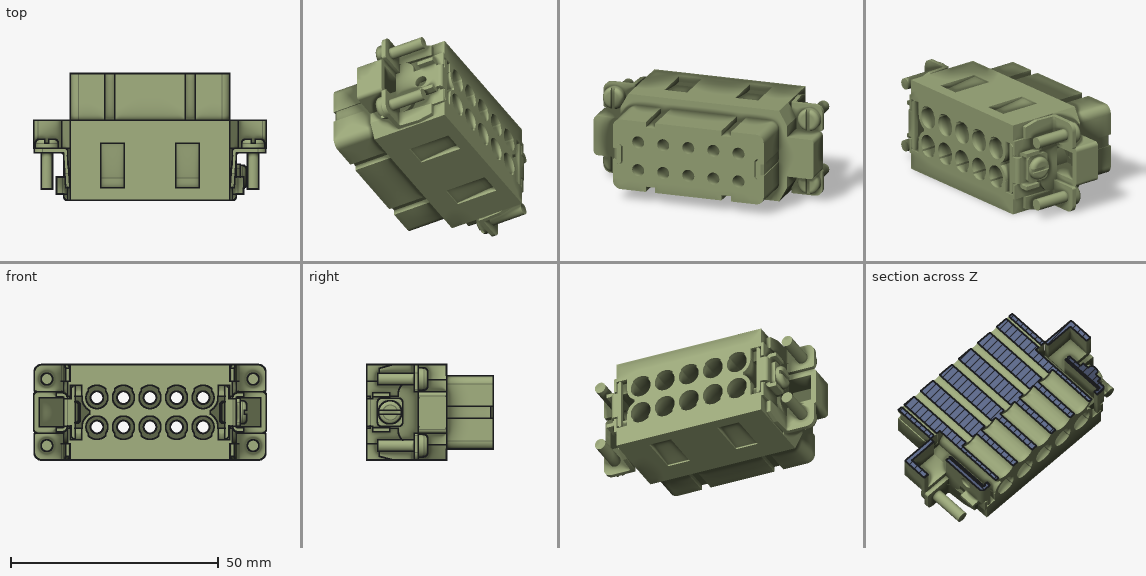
import cadquery as cq
import math

TOTAL_LENGTH = 56.0
TOTAL_HEIGHT = 23.0
TOTAL_DEPTH = 30.5
HALF_LENGTH = TOTAL_LENGTH / 2
HALF_HEIGHT = TOTAL_HEIGHT / 2
FLANGE_FRONT_Y = 12.5
FLANGE_BACK_Y = 19.25

BODY_HALF_LENGTH = 19.2
SEAT_HALF_LENGTH = 19.8
SEAT_HALF_HEIGHT = 7.5
SHOULDER_HALF_LENGTH = 21.2
SHOULDER_HALF_HEIGHT = 7.85

END_BLOCK_HALF_HEIGHT = 5.0
END_BLOCK_FILLET = 0.95
END_POCKET_OUTER_X = 26.6
END_POCKET_HALF_HEIGHT = 3.5
END_POCKET_DEPTH = 5.6

INSERT_HALF_HEIGHT = 8.85
INSERT_FILLET = 2.0
KEYWAY_X = 9.65
KEYWAY_WIDTH = 2.4
KEYWAY_DEPTH = 1.35
END_GROOVE_HALF_HEIGHT = 1.45
END_GROOVE_DEPTH = 0.2
END_GROOVE_CHAMFER = 0.7

CONTACT_COLUMNS = 5
CONTACT_PITCH = 6.4
CONTACT_ROW_Z = 3.5
CONTACT_BORE_RADIUS = 1.5
CAVITY_RADIUS = 2.65
CAVITY_LOBE_RADIUS = 2.95
CAVITY_LOBE_WIDTH = 4.15
CAVITY_DEPTH = FLANGE_FRONT_Y

WEDGE_X = 9.0
WEDGE_WIDTH = 5.75
WEDGE_FRONT_Y = 3.0
WEDGE_FLOOR_END_Y = 5.45
WEDGE_BACK_Y = 13.65
WEDGE_DEEP = 1.4
WEDGE_SHALLOW = 0.4

SLOT_INNER_X = 16.4
SLOT_HALF_HEIGHT = 6.55
SLOT_DEPTH = 1.7
CHAMBER_TIP_X = 14.45
CHAMBER_HALF_HEIGHT = 3.8
CHAMBER_DEPTH = FLANGE_BACK_Y
CHAMBER_WALL_RADIUS = 3.6
WINDOW_OUTER_X = 18.0
WINDOW_INNER_X = 16.8
WINDOW_HALF_HEIGHT = 2.6
WINDOW_CHAMFER = 0.5
TONGUE_TIP_X = 17.15
TONGUE_HALF_HEIGHT = 2.45

SHEET = 0.95
TAB_SHEET = 1.05
PLATE_INNER_X = SEAT_HALF_LENGTH
PLATE_OUTER_X = PLATE_INNER_X + SHEET
TAB_END_X = 27.9
TAB_CORNER_RADIUS = 1.95
TAB_INNER_RADIUS = 0.5
TAB_FRONT_Y = FLANGE_FRONT_Y - TAB_SHEET
BEND_RADIUS = 0.5
NECK_HALF_HEIGHT = 3.8
NECK_START_Y = 7.6
SHOULDER_RADIUS = 3.1
EAR_TIP_Y = 3.0
EAR_TIP_INNER_X = 19.25
EAR_TIP_OUTER_X = 20.3
EAR_ROOT_Y = TAB_FRONT_Y - BEND_RADIUS
EAR_CHAMFER_LENGTH = 3.5
EAR_CHAMFER_HEIGHT = 0.95
FINGER_FRONT_Y = 1.45
FINGER_BACK_Y = 5.6
FINGER_END_X = 22.5
FINGER_OUTER_Z = 4.7
FINGER_INNER_Z = FINGER_OUTER_Z - SHEET
FINGER_OUTER_RADIUS = 1.25
FINGER_INNER_RADIUS = 0.45
BRIDGE_HALF_HEIGHT = 3.3
BRIDGE_THICKNESS = 0.9
BRIDGE_RADIUS = 0.9
LEG_INNER_X = 18.0
LEG_OUTER_X = 19.0
LEG_HALF_HEIGHT = 6.4
LEG_CHAMFER = 0.55
LEG_DEPTH = 1.2
GROUND_HOLE_Y = 5.65
GROUND_HOLE_RADIUS = 1.5

WASHER_WIDTH = 6.05
WASHER_HEIGHT = 6.8
WASHER_THICKNESS = 0.95
WASHER_CORNER_RADIUS = 0.95
GROUND_HEAD_RADIUS = 2.8
GROUND_HEAD_HEIGHT = 1.5
GROUND_HEAD_FILLET = 1.0
GROUND_SLOT_DEPTH = 0.6

SCREW_X = 24.8
SCREW_Z = 8.0
SCREW_RADIUS = 1.4
SCREW_TIP_Y = 2.7
HEAD_RADIUS = 2.75
HEAD_HEIGHT = 2.25
HEAD_FILLET = 1.0
SCREW_SLOT_WIDTH = 1.0
SCREW_SLOT_DEPTH = 1.05


def block(x0, x1, y0, y1, z0, z1):
    """Box between two opposite corners."""
    return cq.Workplane("XY").box(x1 - x0, y1 - y0, z1 - z0, centered=False).translate((x0, y0, z0))


def centred_block(x0, x1, y0, y1, half_height):
    """Box that is symmetric about Z = 0."""
    return block(x0, x1, y0, y1, -half_height, half_height)


def xz_plane(y):
    """Workplane facing +Y at the given Y; its local axes are (-X, Z)."""
    return cq.Workplane(cq.Plane(origin=(0, y, 0), xDir=(-1, 0, 0), normal=(0, 1, 0)))


def cylinder_y(radius, x, z, y0, y1):
    """Cylinder along Y."""
    return xz_plane(y0).center(-x, z).circle(radius).extrude(y1 - y0)


def cylinder_x(radius, y, x0, x1):
    """Cylinder along X at Z = 0."""
    return cq.Workplane("YZ", origin=(x0, y, 0)).circle(radius).extrude(x1 - x0)


def with_mirror(shape, plane):
    """The shape joined with its mirror image."""
    return shape.union(shape.mirror(plane))


def main_block():
    body = centred_block(-BODY_HALF_LENGTH, BODY_HALF_LENGTH, 0, FLANGE_BACK_Y, HALF_HEIGHT)
    seats = centred_block(-SEAT_HALF_LENGTH, SEAT_HALF_LENGTH, 0, FLANGE_FRONT_Y, SEAT_HALF_HEIGHT)
    quarter = [
        (BODY_HALF_LENGTH, HALF_HEIGHT),
        (SHOULDER_HALF_LENGTH, SHOULDER_HALF_HEIGHT),
    ]
    outline = quarter + [(x, -z) for x, z in reversed(quarter)]
    outline += [(-x, -z) for x, z in outline]
    shoulder = xz_plane(FLANGE_FRONT_Y).polyline(outline).close().extrude(FLANGE_BACK_Y - FLANGE_FRONT_Y)
    return body.union(seats).union(shoulder)


def end_blocks():
    return centred_block(
        -HALF_LENGTH, HALF_LENGTH, FLANGE_FRONT_Y, FLANGE_BACK_Y, END_BLOCK_HALF_HEIGHT
    ).edges("|Y").fillet(END_BLOCK_FILLET)


def end_pocket():
    """Pocket in the front of an end block that runs inwards to the ground chamber."""
    return centred_block(
        BODY_HALF_LENGTH, END_POCKET_OUTER_X,
        FLANGE_FRONT_Y, FLANGE_FRONT_Y + END_POCKET_DEPTH, END_POCKET_HALF_HEIGHT,
    )


def mating_insert():
    insert = centred_block(
        -BODY_HALF_LENGTH, BODY_HALF_LENGTH, FLANGE_BACK_Y, TOTAL_DEPTH, INSERT_HALF_HEIGHT
    ).edges("|Y").fillet(INSERT_FILLET)
    keyway = block(
        KEYWAY_X - KEYWAY_WIDTH / 2, KEYWAY_X + KEYWAY_WIDTH / 2, FLANGE_BACK_Y, TOTAL_DEPTH,
        INSERT_HALF_HEIGHT - KEYWAY_DEPTH, INSERT_HALF_HEIGHT,
    )
    keyways = with_mirror(with_mirror(keyway, "YZ"), "XY")
    groove_x = BODY_HALF_LENGTH - END_GROOVE_DEPTH
    groove = cq.Workplane("XY", origin=(0, 0, -END_GROOVE_HALF_HEIGHT)).polyline([
        (BODY_HALF_LENGTH, FLANGE_BACK_Y),
        (groove_x, FLANGE_BACK_Y),
        (groove_x, TOTAL_DEPTH - END_GROOVE_CHAMFER),
        (groove_x - END_GROOVE_CHAMFER, TOTAL_DEPTH),
        (BODY_HALF_LENGTH, TOTAL_DEPTH),
    ]).close().extrude(2 * END_GROOVE_HALF_HEIGHT)
    return insert.cut(keyways).cut(with_mirror(groove, "YZ"))


def contact_cavity(x):
    """Upper-row cavity with a lobe on its outer side and a bore through the housing."""
    round_part = cylinder_y(CAVITY_RADIUS, x, CONTACT_ROW_Z, 0, CAVITY_DEPTH)
    lobe = cylinder_y(CAVITY_LOBE_RADIUS, x, CONTACT_ROW_Z, 0, CAVITY_DEPTH).intersect(block(
        x - CAVITY_LOBE_WIDTH / 2, x + CAVITY_LOBE_WIDTH / 2, 0, CAVITY_DEPTH,
        CONTACT_ROW_Z, CONTACT_ROW_Z + CAVITY_LOBE_RADIUS,
    ))
    bore = cylinder_y(CONTACT_BORE_RADIUS, x, CONTACT_ROW_Z, 0, TOTAL_DEPTH)
    return round_part.union(lobe).union(bore)


def wedge_pocket():
    """Pocket in the upper face with a flat floor at the front and a ramp rising to the back."""
    return cq.Workplane("YZ", origin=(WEDGE_X - WEDGE_WIDTH / 2, 0, 0)).polyline([
        (WEDGE_FRONT_Y, HALF_HEIGHT),
        (WEDGE_FRONT_Y, HALF_HEIGHT - WEDGE_DEEP),
        (WEDGE_FLOOR_END_Y, HALF_HEIGHT - WEDGE_DEEP),
        (WEDGE_BACK_Y, HALF_HEIGHT - WEDGE_SHALLOW),
        (WEDGE_BACK_Y, HALF_HEIGHT),
    ]).close().extrude(WEDGE_WIDTH)


def window_plug(tip_x, half_height):
    """Bar along Y from the chamber to the rear face, chamfered along its inner edges."""
    plug = centred_block(tip_x, WINDOW_OUTER_X, CHAMBER_DEPTH, TOTAL_DEPTH, half_height)
    return plug.edges("|Y and <X").chamfer(WINDOW_CHAMFER)


def ground_chamber():
    """Slot for the bracket leg, the chamber behind it and the openings that lead out of them."""
    slot = centred_block(SLOT_INNER_X, BODY_HALF_LENGTH, 0, SLOT_DEPTH, SLOT_HALF_HEIGHT)
    chamber = centred_block(CHAMBER_TIP_X, BODY_HALF_LENGTH, 0, CHAMBER_DEPTH, CHAMBER_HALF_HEIGHT)
    last_column_x = CONTACT_PITCH * (CONTACT_COLUMNS // 2)
    for z in (CONTACT_ROW_Z, -CONTACT_ROW_Z):
        chamber = chamber.cut(cylinder_y(CHAMBER_WALL_RADIUS, last_column_x, z, 0, CHAMBER_DEPTH))
    window = window_plug(WINDOW_INNER_X, WINDOW_HALF_HEIGHT).cut(
        window_plug(TONGUE_TIP_X, TONGUE_HALF_HEIGHT)
    )
    bridge_notch = centred_block(BODY_HALF_LENGTH, SEAT_HALF_LENGTH, 0, BRIDGE_THICKNESS, NECK_HALF_HEIGHT)
    ground_hole = cylinder_x(GROUND_HOLE_RADIUS, GROUND_HOLE_Y, SLOT_INNER_X, SEAT_HALF_LENGTH)
    return slot.union(chamber).union(window).union(bridge_notch).union(ground_hole)


def make_housing():
    housing = main_block().union(end_blocks()).union(mating_insert())
    housing = housing.cut(with_mirror(end_pocket(), "YZ"))
    for column in range(CONTACT_COLUMNS):
        cavity = contact_cavity(CONTACT_PITCH * (column - CONTACT_COLUMNS // 2))
        housing = housing.cut(cavity).cut(cavity.mirror("XY"))
    wedges = with_mirror(with_mirror(wedge_pocket(), "YZ"), "XY")
    return housing.cut(wedges).cut(with_mirror(ground_chamber(), "YZ"))


def bracket_plate():
    """Upright plate with full-height top strip, rounded shoulders and a neck."""
    strip = centred_block(PLATE_INNER_X, PLATE_OUTER_X, EAR_ROOT_Y, FLANGE_FRONT_Y, HALF_HEIGHT)
    wide = centred_block(PLATE_INNER_X, PLATE_OUTER_X, NECK_START_Y, FLANGE_FRONT_Y, SEAT_HALF_HEIGHT)
    wide = wide.edges("|X and <Y").fillet(SHOULDER_RADIUS)
    neck = centred_block(PLATE_INNER_X, PLATE_OUTER_X, FINGER_BACK_Y, NECK_START_Y, NECK_HALF_HEIGHT)
    end = centred_block(PLATE_INNER_X, PLATE_OUTER_X, FINGER_FRONT_Y, FINGER_BACK_Y, BRIDGE_HALF_HEIGHT)
    return strip.union(wide).union(neck).union(end)


def bracket_tab():
    """Upper screw tab."""
    tab = block(PLATE_INNER_X, TAB_END_X, TAB_FRONT_Y, FLANGE_FRONT_Y, END_BLOCK_HALF_HEIGHT, HALF_HEIGHT)
    tab = tab.edges("|Y and >X and >Z").fillet(TAB_CORNER_RADIUS)
    tab = tab.edges("|Y and >X and <Z").fillet(TAB_INNER_RADIUS)
    return tab.cut(cylinder_y(SCREW_RADIUS, SCREW_X, SCREW_Z, TAB_FRONT_Y, FLANGE_FRONT_Y))


def bracket_ear():
    """Upper spring ear that leans towards the housing, with a filleted root under the tab."""
    height = HALF_HEIGHT - SEAT_HALF_HEIGHT
    base = cq.Workplane("XY", origin=(0, 0, SEAT_HALF_HEIGHT))
    ear = base.polyline([
        (PLATE_INNER_X, EAR_ROOT_Y),
        (EAR_TIP_INNER_X, EAR_TIP_Y),
        (EAR_TIP_OUTER_X, EAR_TIP_Y),
        (PLATE_OUTER_X, EAR_ROOT_Y),
    ]).close().extrude(height)
    corner = cq.Workplane("YZ").polyline([
        (EAR_TIP_Y, HALF_HEIGHT),
        (EAR_TIP_Y, HALF_HEIGHT - EAR_CHAMFER_HEIGHT),
        (EAR_TIP_Y + EAR_CHAMFER_LENGTH, HALF_HEIGHT),
    ]).close().extrude(HALF_LENGTH)
    mid = BEND_RADIUS * (1 - math.sqrt(0.5))
    root = (
        base.moveTo(PLATE_OUTER_X, TAB_FRONT_Y)
        .lineTo(PLATE_OUTER_X, EAR_ROOT_Y)
        .threePointArc(
            (PLATE_OUTER_X + mid, TAB_FRONT_Y - mid),
            (PLATE_OUTER_X + BEND_RADIUS, TAB_FRONT_Y),
        )
        .close()
        .extrude(height)
    )
    return ear.cut(corner).union(root)


def bracket_finger():
    """Upper finger bent outwards from the neck."""
    outer_mid = FINGER_OUTER_RADIUS * (1 - math.sqrt(0.5))
    inner_mid = FINGER_INNER_RADIUS * (1 - math.sqrt(0.5))
    profile = (
        cq.Workplane("XZ", origin=(0, FINGER_BACK_Y, 0))
        .moveTo(PLATE_INNER_X, FINGER_INNER_Z - FINGER_INNER_RADIUS)
        .lineTo(PLATE_INNER_X, FINGER_OUTER_Z - FINGER_OUTER_RADIUS)
        .threePointArc(
            (PLATE_INNER_X + outer_mid, FINGER_OUTER_Z - outer_mid),
            (PLATE_INNER_X + FINGER_OUTER_RADIUS, FINGER_OUTER_Z),
        )
        .lineTo(FINGER_END_X, FINGER_OUTER_Z)
        .lineTo(FINGER_END_X, FINGER_INNER_Z)
        .lineTo(PLATE_OUTER_X + FINGER_INNER_RADIUS, FINGER_INNER_Z)
        .threePointArc(
            (PLATE_OUTER_X + inner_mid, FINGER_INNER_Z - inner_mid),
            (PLATE_OUTER_X, FINGER_INNER_Z - FINGER_INNER_RADIUS),
        )
        .close()
    )
    return profile.extrude(FINGER_BACK_Y - FINGER_FRONT_Y)


def bracket_hook():
    """Bridge over the housing edge and the leg that drops into the slot."""
    bridge = centred_block(LEG_OUTER_X, PLATE_OUTER_X, 0, FINGER_FRONT_Y, BRIDGE_HALF_HEIGHT)
    bridge = bridge.cut(centred_block(
        LEG_OUTER_X, PLATE_INNER_X, BRIDGE_THICKNESS, FINGER_FRONT_Y, BRIDGE_HALF_HEIGHT
    ))
    bridge = bridge.edges("|Z and >X and <Y").fillet(BRIDGE_RADIUS)
    leg = centred_block(LEG_INNER_X, LEG_OUTER_X, 0, LEG_DEPTH, LEG_HALF_HEIGHT)
    leg = leg.edges("|Y and >X").chamfer(LEG_CHAMFER)
    return bridge.union(leg)


def make_bracket():
    half = bracket_tab().union(bracket_ear()).union(bracket_finger())
    bracket = bracket_plate().union(with_mirror(half, "XY"))
    bracket = bracket.edges(cq.selectors.NearestToPointSelector((PLATE_INNER_X, FLANGE_FRONT_Y, 0)))
    bracket = bracket.fillet(BEND_RADIUS).union(bracket_hook())
    return bracket.cut(cylinder_x(GROUND_HOLE_RADIUS, GROUND_HOLE_Y, PLATE_INNER_X, PLATE_OUTER_X))


def ground_terminal():
    """Clamp washer and slotted ground screw fixed to the bracket."""
    washer = cq.Workplane("YZ", origin=(PLATE_OUTER_X, GROUND_HOLE_Y, 0)).rect(WASHER_WIDTH, WASHER_HEIGHT)
    washer = washer.extrude(WASHER_THICKNESS).edges("|X").fillet(WASHER_CORNER_RADIUS)
    head_x = PLATE_OUTER_X + WASHER_THICKNESS
    head_end_x = head_x + GROUND_HEAD_HEIGHT
    head = cylinder_x(GROUND_HEAD_RADIUS, GROUND_HOLE_Y, head_x, head_end_x)
    head = head.faces(">X").edges().fillet(GROUND_HEAD_FILLET)
    head = head.cut(centred_block(
        head_end_x - GROUND_SLOT_DEPTH, head_end_x,
        GROUND_HOLE_Y - GROUND_HEAD_RADIUS, GROUND_HOLE_Y + GROUND_HEAD_RADIUS, SCREW_SLOT_WIDTH / 2,
    ))
    shank = cylinder_x(GROUND_HOLE_RADIUS, GROUND_HOLE_Y, BODY_HALF_LENGTH, head_x)
    return washer.union(head).union(shank)


def make_screw(x, z):
    """Slotted pan-head screw along Y, its head resting on the back of a tab."""
    head_end_y = FLANGE_FRONT_Y + HEAD_HEIGHT
    head = cylinder_y(HEAD_RADIUS, x, z, FLANGE_FRONT_Y, head_end_y)
    head = head.faces(">Y").edges().fillet(HEAD_FILLET)
    slot = block(
        x - SCREW_SLOT_WIDTH / 2, x + SCREW_SLOT_WIDTH / 2,
        head_end_y - SCREW_SLOT_DEPTH, head_end_y, z - HEAD_RADIUS, z + HEAD_RADIUS,
    )
    return head.cut(slot).union(cylinder_y(SCREW_RADIUS, x, z, SCREW_TIP_Y, FLANGE_FRONT_Y))


housing = make_housing()
plain_bracket = make_bracket().mirror("YZ")
ground_bracket = make_bracket().union(ground_terminal())
screws = [make_screw(x, z) for x in (-SCREW_X, SCREW_X) for z in (-SCREW_Z, SCREW_Z)]

result = cq.Compound.makeCompound([
    housing.val(),
    plain_bracket.val(),
    ground_bracket.val(),
    *[screw.val() for screw in screws],
])